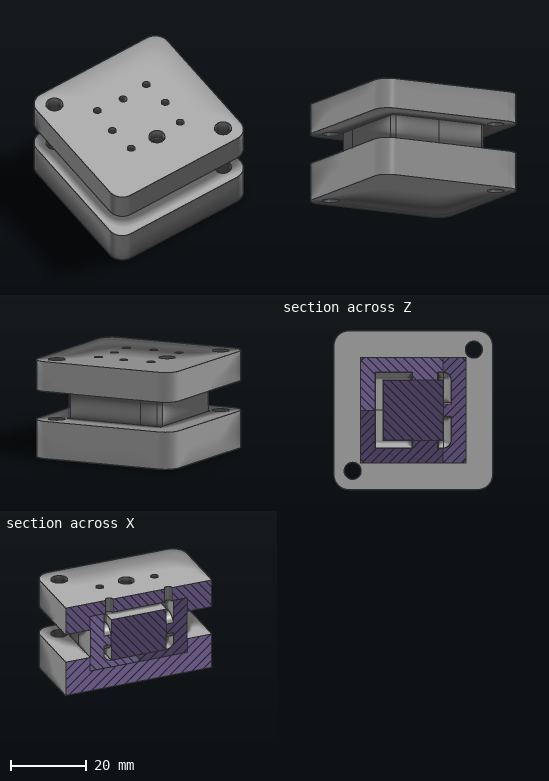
import cadquery as cq
import math

PLATE_SIDE = 42.0
PLATE_CORNER_RADIUS = 4.0
TOTAL_HEIGHT = 26.0
BOTTOM_THICKNESS = 10.0
TOP_THICKNESS = (TOTAL_HEIGHT - BOTTOM_THICKNESS) / 2
TOP_PLATE_BOTTOM = TOTAL_HEIGHT - TOP_THICKNESS
POCKET_DEPTH = 4.0
GUIDE_HOLE_DIAMETER = 4.4
GUIDE_HOLE_OFFSET = 16.0

BLOCK_SIDE = 27.9
BLOCK_CHAMFER = 1.0
BLOCK_BOTTOM = BOTTOM_THICKNESS - POCKET_DEPTH
BLOCK_TOP = TOP_PLATE_BOTTOM + POCKET_DEPTH
CAVITY_FLOOR_THICKNESS = 2.0

CORE_SIDE = 15.9
WALL_GAP = 2.0
CAVITY_SIDE = CORE_SIDE + 2 * WALL_GAP
CAVITY_BOTTOM = BLOCK_BOTTOM + CAVITY_FLOOR_THICKNESS
CORE_TOP = BLOCK_TOP - WALL_GAP
CORE_MIDDLE = (CAVITY_BOTTOM + CORE_TOP) / 2
CORE_FACE = CORE_SIDE / 2

SIDE_BOSS_DIAMETER = 7.0
SIDE_BOSS_X = 3.15
END_BOSS_DIAMETER = 4.0
BOSS_EMBEDMENT = 1.0
BOSS_LENGTH = WALL_GAP + BOSS_EMBEDMENT

VENT_DIAMETER = 2.0
CORNER_VENT_OFFSET = 7.85
SIDE_VENT_OFFSET = 8.5
SLOPED_VENT_DIAMETER = 1.97
SLOPED_VENT_X = -7.25
SLOPED_VENT_ANGLE = 20.0
SPRUE_X = 8.45
SPRUE_MOUTH_DIAMETER = 4.2
SPRUE_SEAT_DIAMETER = 4.0
SPRUE_SEAT_DEPTH = 2.7
SPRUE_DIAMETER = 3.0


def box_between(x_range, y_range, z_range):
    """Axis-aligned box given by its limits along X, Y and Z."""
    lengths = [high - low for low, high in (x_range, y_range, z_range)]
    corner = (x_range[0], y_range[0], z_range[0])
    return cq.Workplane("XY", origin=corner).box(*lengths, centered=False)


def square_prism(side, bottom, top):
    """Square block centred on the Z axis."""
    half = side / 2
    return box_between((-half, half), (-half, half), (bottom, top))


def cylinder_along(start, direction, diameter, length):
    """Solid cylinder from a start point along a direction."""
    rod = cq.Solid.makeCylinder(diameter / 2, length, cq.Vector(*start), cq.Vector(*direction))
    return cq.Workplane(obj=rod)


def make_plate(bottom, top):
    """Rounded square plate with two guide holes on one diagonal."""
    plate = square_prism(PLATE_SIDE, bottom, top).edges("|Z").fillet(PLATE_CORNER_RADIUS)
    for offset in (-GUIDE_HOLE_OFFSET, GUIDE_HOLE_OFFSET):
        plate = plate.cut(
            cylinder_along((offset, offset, bottom), (0, 0, 1), GUIDE_HOLE_DIAMETER, top - bottom)
        )
    return plate


def make_bottom_plate():
    """Plate with a square pocket in its upper face for the mould block."""
    pocket = square_prism(BLOCK_SIDE, BLOCK_BOTTOM, BOTTOM_THICKNESS)
    return make_plate(0, BOTTOM_THICKNESS).cut(pocket)


def make_straight_vents():
    """Vertical vents above the core corners and above the two side gaps."""
    places = [(x, y) for x in (-CORNER_VENT_OFFSET, CORNER_VENT_OFFSET)
              for y in (-CORNER_VENT_OFFSET, CORNER_VENT_OFFSET)]
    places += [(0, -SIDE_VENT_OFFSET), (0, SIDE_VENT_OFFSET)]
    vents = cq.Workplane("XY", origin=(0, 0, BLOCK_TOP)).pushPoints(places)
    return vents.circle(VENT_DIAMETER / 2).extrude(TOTAL_HEIGHT - BLOCK_TOP)


def make_sloped_vent():
    """Inclined vent that leads down into the gap on the -X side of the core."""
    slope = math.radians(SLOPED_VENT_ANGLE)
    direction = (-math.sin(slope), 0, -math.cos(slope))
    reach = TOP_THICKNESS
    start = (SLOPED_VENT_X - reach * direction[0], 0, TOTAL_HEIGHT - reach * direction[2])
    return cylinder_along(start, direction, SLOPED_VENT_DIAMETER, 2 * reach)


def make_sprue():
    """Tapered seat with a smaller hole through its floor, turned about a vertical axis."""
    seat_floor = TOTAL_HEIGHT - SPRUE_SEAT_DEPTH
    profile = cq.Workplane("XZ", origin=(SPRUE_X, 0, 0)).polyline([
        (0, BLOCK_TOP),
        (SPRUE_DIAMETER / 2, BLOCK_TOP),
        (SPRUE_DIAMETER / 2, seat_floor),
        (SPRUE_SEAT_DIAMETER / 2, seat_floor),
        (SPRUE_MOUTH_DIAMETER / 2, TOTAL_HEIGHT),
        (0, TOTAL_HEIGHT),
    ])
    return profile.close().revolve(360, (0, 0), (0, 1))


def make_top_plate():
    """Plate with a square pocket in its lower face, the vents and the sprue."""
    pocket = square_prism(BLOCK_SIDE, TOP_PLATE_BOTTOM, BLOCK_TOP)
    plate = make_plate(TOP_PLATE_BOTTOM, TOTAL_HEIGHT).cut(pocket)
    return plate.cut(make_straight_vents()).cut(make_sloped_vent()).cut(make_sprue())


def make_cavity():
    """Open-topped cavity, rounded at its +X corners and along its floor except at -X."""
    cavity = square_prism(CAVITY_SIDE, CAVITY_BOTTOM, BLOCK_TOP)
    rounded = cavity.edges("(|Z and >X) or (<Z and (>X or <Y or >Y))")
    return rounded.fillet(WALL_GAP)


def make_bosses():
    """Round bosses bridging the gap on both Y sides and on the +X side of the core."""
    end_boss = cq.Workplane(cq.Plane((CORE_FACE, 0, CORE_MIDDLE), (0, 0, 1), (1, 0, 0)))
    bosses = end_boss.circle(END_BOSS_DIAMETER / 2).extrude(BOSS_LENGTH)
    for side in (-1, 1):
        start = (SIDE_BOSS_X, side * CORE_FACE, CORE_MIDDLE)
        bosses = bosses.union(cylinder_along(start, (0, side, 0), SIDE_BOSS_DIAMETER, BOSS_LENGTH))
    return bosses


def make_mould_block():
    """Whole chamfered mould block with its cavity and bosses, before it is split."""
    block = square_prism(BLOCK_SIDE, BLOCK_BOTTOM, BLOCK_TOP).edges("|Z").chamfer(BLOCK_CHAMFER)
    return block.cut(make_cavity()).union(make_bosses())


def make_side_block(side):
    """Part of the mould block on one Y side, up to the +X face of the core."""
    half = BLOCK_SIDE / 2
    y_range = (min(0, side * half), max(0, side * half))
    region = box_between((-half, CORE_FACE), y_range, (BLOCK_BOTTOM, BLOCK_TOP))
    return make_mould_block().intersect(region)


def make_end_block():
    """Part of the mould block beyond the +X face of the core."""
    half = BLOCK_SIDE / 2
    region = box_between((CORE_FACE, half), (-half, half), (BLOCK_BOTTOM, BLOCK_TOP))
    return make_mould_block().intersect(region)


def make_core():
    """Square core standing on the cavity floor."""
    return square_prism(CORE_SIDE, CAVITY_BOTTOM, CORE_TOP)


bottom_plate = make_bottom_plate()
top_plate = make_top_plate()
side_blocks = [make_side_block(side) for side in (-1, 1)]
end_block = make_end_block()
core = make_core()

result = cq.Compound.makeCompound([
    bottom_plate.val(),
    top_plate.val(),
    *[block.val() for block in side_blocks],
    end_block.val(),
    core.val(),
])